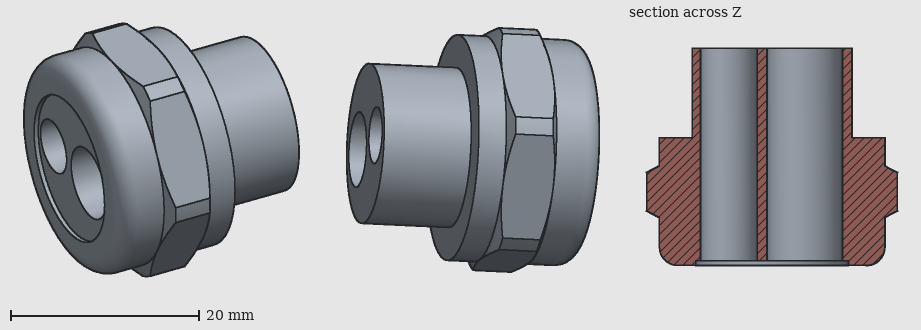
import cadquery as cq
import math

body_diameter = 24.0
hex_across_flats = body_diameter
hex_sharp_diameter = hex_across_flats / math.cos(math.pi / 6)
hex_corner_diameter = 26.7
stub_diameter = 17.0

total_length = 23.1
stub_length = 9.5
collar_length = 3.0
hex_length = 5.5
hex_chamfer_length = 0.7

front_edge_radius = 2.0
recess_diameter = 16.2
recess_depth = 0.5

small_hole_diameter = 6.0
small_hole_x = -4.6
large_hole_diameter = 8.0
large_hole_x = 3.47

hex_back = total_length - stub_length - collar_length
hex_front = hex_back - hex_length
body_back = hex_back + collar_length


def cylinder(diameter, start, end, x=0):
    """Cylinder along Y from start to end, centred at the given X."""
    plane = cq.Workplane("XZ", origin=(x, start, 0))
    return plane.circle(diameter / 2).extrude(start - end)


def make_body():
    """Round body with a rounded front edge and a narrower rear stub."""
    body = cylinder(body_diameter, 0, body_back).faces("<Y").edges().fillet(front_edge_radius)
    return body.union(cylinder(stub_diameter, body_back, total_length))


def make_hex():
    """Hexagon with corners on X, turned round at the corners and chamfered on both faces."""
    plane = cq.Workplane("XZ", origin=(0, hex_front, 0))
    prism = plane.polygon(6, hex_sharp_diameter).extrude(-hex_length)
    face_radius = body_diameter / 2
    corner_radius = hex_corner_diameter / 2
    envelope = (
        cq.Workplane("XY")
        .moveTo(0, hex_front)
        .lineTo(face_radius, hex_front)
        .lineTo(corner_radius, hex_front + hex_chamfer_length)
        .lineTo(corner_radius, hex_back - hex_chamfer_length)
        .lineTo(face_radius, hex_back)
        .lineTo(0, hex_back)
        .close()
        .revolve(360, (0, 0, 0), (0, 1, 0))
    )
    return prism.intersect(envelope)


result = make_body().union(make_hex())

result = result.cut(cylinder(recess_diameter, 0, recess_depth))

for diameter, x in (
    (small_hole_diameter, small_hole_x),
    (large_hole_diameter, large_hole_x),
):
    result = result.cut(cylinder(diameter, 0, total_length, x))